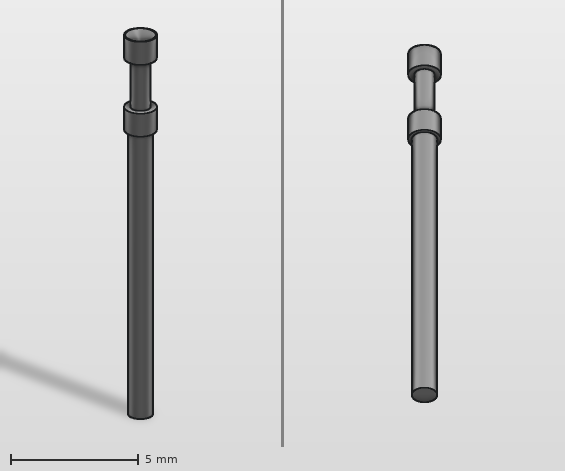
import cadquery as cq

total_length = 16.5
head_diameter = 1.3
neck_diameter = 0.8
stem_diameter = 1.0
head_height = 1.0
neck_height = 2.125
rim_width = 0.05
cone_depth = 0.5

stem_length = total_length - 2 * head_height - neck_height
cone_radius = head_diameter / 2 - rim_width


def make_pin():
    """Stack the stem, collar, neck and head along Z, starting at Z = 0."""
    sections = [
        (stem_diameter, stem_length),
        (head_diameter, head_height),
        (neck_diameter, neck_height),
        (head_diameter, head_height),
    ]
    pin = cq.Workplane("XY")
    base_z = 0.0
    for diameter, height in sections:
        section = cq.Workplane("XY").workplane(offset=base_z).circle(diameter / 2).extrude(height)
        pin = pin.union(section)
        base_z += height
    return pin


def make_conical_recess():
    """Cone opening at the top of the head, with its tip on the axis."""
    top = cq.Vector(0, 0, total_length)
    down = cq.Vector(0, 0, -1)
    return cq.Workplane(cq.Solid.makeCone(cone_radius, 0, cone_depth, pnt=top, dir=down))


result = make_pin().cut(make_conical_recess())